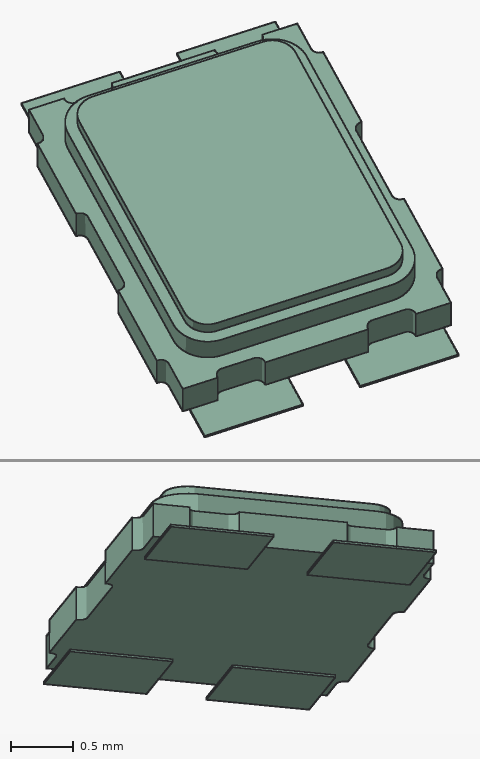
import cadquery as cq

pad_height = 0.02
base_height = 0.282
ring_height = 0.2
lid_height = 0.1

pads_span_x = 3.81
pad_length = 0.79
pad_width = 0.86
pad_gap = 0.5

base_length = 3.195
base_width = 2.5
recess_depth = 0.075
recess_radius = 0.07
tab_inner_x = 0.44
tab_outer_x = 1.242
side_notch_width = 0.415
side_notch_center_y = 0.66

ring_length = 2.79
ring_width = 2.088
ring_radius = 0.3
lid_inset = 0.1

base_bottom = pad_height
ring_bottom = base_bottom + base_height
lid_bottom = ring_bottom + ring_height


def rounded_plate(length, width, height, radius, bottom):
    """Centred plate with rounded vertical corners."""
    plate = cq.Workplane("XY", origin=(0, 0, bottom)).rect(length, width).extrude(height)
    return plate.edges("|Z").fillet(radius)


def notch_cutter(center_x, center_y, length, width):
    """Rounded block centred on an outer edge, so that half of it cuts into the base."""
    cutter = rounded_plate(length, width, base_height, recess_radius, base_bottom)
    return cutter.translate((center_x, center_y, 0))


def make_base():
    base = cq.Workplane("XY", origin=(0, 0, base_bottom)).rect(base_length, base_width).extrude(base_height)
    notch_depth = 2 * recess_depth
    corner_length = 2 * (base_length / 2 - tab_outer_x)
    for side_y in (-1, 1):
        edge_y = side_y * base_width / 2
        base = base.cut(notch_cutter(0, edge_y, 2 * tab_inner_x, notch_depth))
        for side_x in (-1, 1):
            edge_x = side_x * base_length / 2
            base = base.cut(notch_cutter(edge_x, edge_y, corner_length, notch_depth))
            notch_y = side_y * side_notch_center_y
            base = base.cut(notch_cutter(edge_x, notch_y, notch_depth, side_notch_width))
    return base


def make_pads():
    spacing_x = pads_span_x - pad_length
    spacing_y = pad_width + pad_gap
    pads = cq.Workplane("XY").rarray(spacing_x, spacing_y, 2, 2).rect(pad_length, pad_width)
    return pads.extrude(pad_height)


ring = rounded_plate(ring_length, ring_width, ring_height, ring_radius, ring_bottom)
lid = rounded_plate(
    ring_length - 2 * lid_inset,
    ring_width - 2 * lid_inset,
    lid_height,
    ring_radius - lid_inset,
    lid_bottom,
)

result = make_base().union(ring).union(lid).union(make_pads())